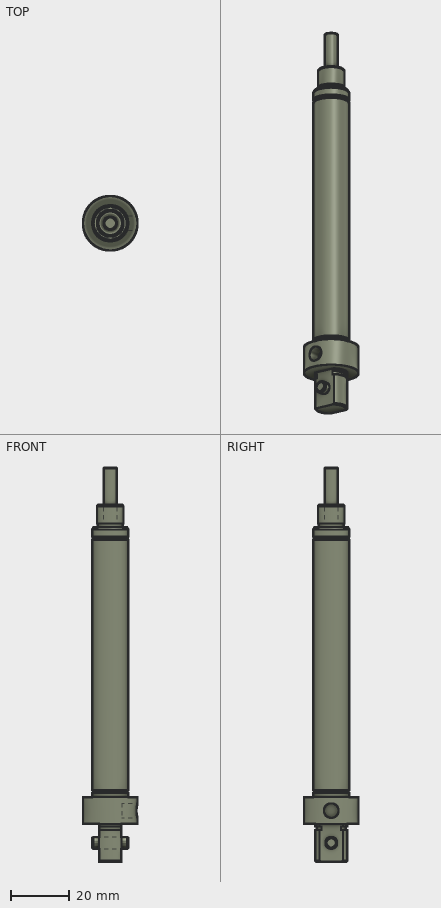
import cadquery as cq

TOTAL_HEIGHT = 135.1

FLANGE_DIAMETER = 18.8
FLANGE_BOTTOM = 13.0
FLANGE_HEIGHT = 9.2
FLANGE_TOP = FLANGE_BOTTOM + FLANGE_HEIGHT
PORT_DIAMETER = 5.0
PORT_DEPTH = 5.4

BARREL_DIAMETER = 12.4
BARREL_TOP = 114.7
BARREL_CHAMFER_WIDTH = 0.5
BARREL_CHAMFER_HEIGHT = 0.8
WAIST_DIAMETER = 11.6
WAIST_BOTTOM = 23.9
WAIST_TOP = 24.2
WAIST_BEVEL = (BARREL_DIAMETER - WAIST_DIAMETER) / 2
GROOVE_DIAMETER = 12.2
GROOVE_BOTTOM = 110.3
GROOVE_HEIGHT = 1.2
GROOVE_BEVEL = 0.4

COLLAR_DIAMETER = 9.2
COLLAR_BOTTOM = 116.0
COLLAR_TOP = 122.4
COLLAR_CHAMFER = 0.5
NECK_DIAMETER = 8.6

TANG_DIAMETER = 11.1
TANG_THICKNESS = 7.5
TANG_CHAMFER = 0.4
RELIEF_DIAMETER = 10.0
RELIEF_BOTTOM = 11.0
RELIEF_HEIGHT = 1.2

PIN_DIAMETER = 4.0
PIN_LENGTH = 12.4
PIN_CHAMFER = 0.4
PIN_HEIGHT = 6.5

ROD_DIAMETER = 4.6
ROD_CHAMFER = 0.3
ROD_BOTTOM = COLLAR_BOTTOM


def cylinder(diameter, bottom, top):
    """Upright cylinder on the Z axis."""
    return cq.Workplane("XY").workplane(offset=bottom).circle(diameter / 2).extrude(top - bottom)


def cross_cylinder(diameter, height, start, length):
    """Cylinder along +X, from x = start, at the given height."""
    plane = cq.Workplane("YZ", origin=(start, 0, height))
    return plane.circle(diameter / 2).extrude(length)


def make_tang():
    tang = cylinder(TANG_DIAMETER, 0, FLANGE_BOTTOM).faces("<Z").chamfer(TANG_CHAMFER)
    relief_top = RELIEF_BOTTOM + RELIEF_HEIGHT
    relief = cylinder(TANG_DIAMETER, RELIEF_BOTTOM, relief_top)
    relief = relief.cut(cylinder(RELIEF_DIAMETER, RELIEF_BOTTOM, relief_top))
    flats = cq.Workplane("XY").box(TANG_THICKNESS, TANG_DIAMETER, FLANGE_BOTTOM, centered=(True, True, False))
    return tang.cut(relief).intersect(flats)


def make_barrel():
    """Revolved barrel with the waist, the groove and the chamfered top."""
    radius = BARREL_DIAMETER / 2
    waist_radius = WAIST_DIAMETER / 2
    groove_radius = GROOVE_DIAMETER / 2
    groove_top = GROOVE_BOTTOM + GROOVE_HEIGHT
    profile = [
        (0, FLANGE_TOP),
        (radius, FLANGE_TOP),
        (radius, WAIST_BOTTOM - WAIST_BEVEL),
        (waist_radius, WAIST_BOTTOM),
        (waist_radius, WAIST_TOP),
        (radius, WAIST_TOP + WAIST_BEVEL),
        (radius, GROOVE_BOTTOM),
        (groove_radius, GROOVE_BOTTOM + GROOVE_BEVEL),
        (groove_radius, groove_top - GROOVE_BEVEL),
        (radius, groove_top),
        (radius, BARREL_TOP - BARREL_CHAMFER_HEIGHT),
        (radius - BARREL_CHAMFER_WIDTH, BARREL_TOP),
        (0, BARREL_TOP),
    ]
    return cq.Workplane("XZ").polyline(profile).close().revolve(360, (0, 0), (0, 1))


def make_flange():
    flange = cylinder(FLANGE_DIAMETER, FLANGE_BOTTOM, FLANGE_TOP)
    port_start = FLANGE_DIAMETER / 2 - PORT_DEPTH
    port_height = FLANGE_BOTTOM + FLANGE_HEIGHT / 2
    return flange.cut(cross_cylinder(PORT_DIAMETER, port_height, port_start, PORT_DEPTH))


def make_collar():
    neck = cylinder(NECK_DIAMETER, BARREL_TOP, COLLAR_BOTTOM)
    collar = cylinder(COLLAR_DIAMETER, COLLAR_BOTTOM, COLLAR_TOP)
    return neck.union(collar.faces(">Z").chamfer(COLLAR_CHAMFER))


def make_housing():
    """Tang, flange, barrel and collar in one solid, bored for the pin and the rod."""
    housing = make_tang().union(make_flange()).union(make_barrel()).union(make_collar())
    pin_hole = cross_cylinder(PIN_DIAMETER, PIN_HEIGHT, -TANG_THICKNESS / 2, TANG_THICKNESS)
    rod_bore = cylinder(ROD_DIAMETER, ROD_BOTTOM, COLLAR_TOP)
    return housing.cut(pin_hole).cut(rod_bore)


def make_rod():
    return cylinder(ROD_DIAMETER, ROD_BOTTOM, TOTAL_HEIGHT).faces(">Z").chamfer(ROD_CHAMFER)


def make_pin():
    pin = cross_cylinder(PIN_DIAMETER, PIN_HEIGHT, -PIN_LENGTH / 2, PIN_LENGTH)
    return pin.faces("<X or >X").chamfer(PIN_CHAMFER)


housing = make_housing()
rod = make_rod()
pin = make_pin()

result = cq.Compound.makeCompound([housing.val(), rod.val(), pin.val()])